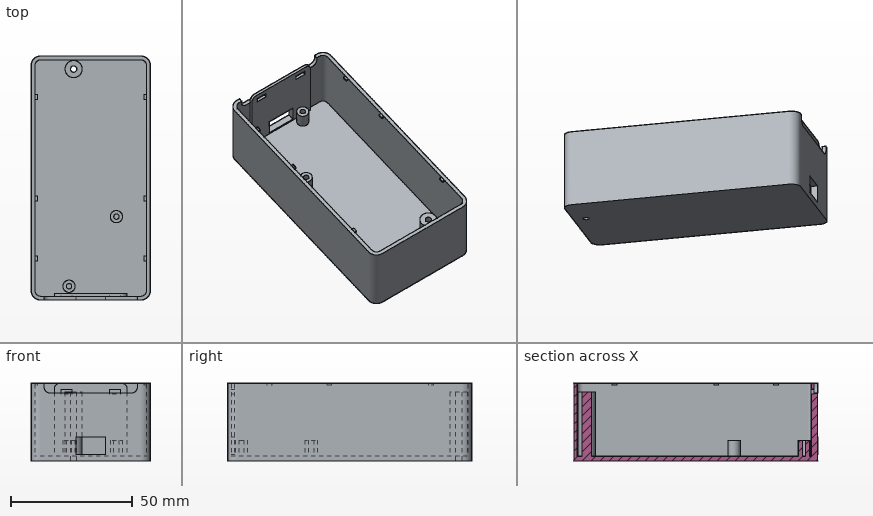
import cadquery as cq

LENGTH = 100.2
WIDTH = 49.0
HEIGHT = 32.0
WALL = 1.6
FLOOR = 2.0
CORNER_RADIUS = 4.0

OUTER_Y = LENGTH / 2
INNER_X = WIDTH / 2 - WALL
INNER_Y = OUTER_Y - WALL

NOTCH_WIDTH = 38.3
NOTCH_DEPTH = 4.1
NOTCH_RADIUS = 2.5
NOTCH_FLOOR = HEIGHT - NOTCH_DEPTH

TONGUE_WIDTH = 29.9
TONGUE_THICKNESS = 1.2
TONGUE_RADIUS = 2.5

SLOT_WIDTH = 4.4
SLOT_RISE = 1.5
SLOT_DROP = 0.3
SLOT_SPACING = 19.8

WINDOW_WIDTH = 12.0
WINDOW_HEIGHT = 7.1
WINDOW_SILL = 2.7

SCREW_POST_PLACE = (-7.0, 44.7)
SCREW_POST_DIAMETER = 7.0
SCREW_HOLE_DIAMETER = 2.5
SCREW_POST_TOP = 28.4

BOARD_POST_PLACES = [(-8.9, -44.4), (10.5, -15.8)]
BOARD_POST_DIAMETER = 5.0
PILOT_DIAMETER = 2.2
BOARD_POST_TOP = 8.4

LUG_LENGTH = 2.0
LUG_HEIGHT = 0.7
LUG_REACH = 1.0
LUG_RIM_GAP = 0.1
LUG_Y_PLACES = [33.3, -8.4, -33.0]


def block(x_size, y_size, z_size, x_mid, y_min, z_min):
    """Box centred on x_mid, rising from z_min and running back from y_min."""
    return (
        cq.Workplane("XY")
        .box(x_size, y_size, z_size, centered=(True, False, False))
        .translate((x_mid, y_min, z_min))
    )


def post(place, diameter, bottom, top):
    """Upright cylinder between two heights."""
    return cq.Workplane("XY", origin=(*place, bottom)).circle(diameter / 2).extrude(top - bottom)


def make_tray():
    outside = block(WIDTH, LENGTH, HEIGHT, 0, -OUTER_Y, 0)
    cavity = block(2 * INNER_X, 2 * INNER_Y, HEIGHT - FLOOR, 0, -INNER_Y, FLOOR)
    outside = outside.edges("|Z").fillet(CORNER_RADIUS)
    cavity = cavity.edges("|Z").fillet(CORNER_RADIUS - WALL)
    return outside.cut(cavity)


def make_notch():
    notch = block(NOTCH_WIDTH, WALL, NOTCH_DEPTH, 0, -OUTER_Y, NOTCH_FLOOR)
    return notch.edges("|Y and <Z").fillet(NOTCH_RADIUS)


def make_tongue():
    tongue = block(TONGUE_WIDTH, TONGUE_THICKNESS, HEIGHT - FLOOR, 0, -INNER_Y, FLOOR)
    tongue = tongue.edges("|Y and >Z").fillet(TONGUE_RADIUS)
    slot_height = SLOT_RISE + SLOT_DROP
    slot_bottom = NOTCH_FLOOR - SLOT_DROP
    for side in (-1, 1):
        slot_x = side * SLOT_SPACING / 2
        tongue = tongue.cut(block(SLOT_WIDTH, TONGUE_THICKNESS, slot_height, slot_x, -INNER_Y, slot_bottom))
    return tongue


def make_window():
    """Opening through both the front wall and the tongue behind it."""
    return block(WINDOW_WIDTH, WALL + TONGUE_THICKNESS, WINDOW_HEIGHT, 0, -OUTER_Y, WINDOW_SILL)


def make_lug(side, y_mid):
    """Lug pointing inward from the wall on the given side of X."""
    x_mid = side * (INNER_X - LUG_REACH / 2)
    lug_bottom = HEIGHT - LUG_RIM_GAP - LUG_HEIGHT
    return block(LUG_REACH, LUG_LENGTH, LUG_HEIGHT, x_mid, y_mid - LUG_LENGTH / 2, lug_bottom)


result = make_tray().cut(make_notch()).union(make_tongue()).cut(make_window())

result = result.union(post(SCREW_POST_PLACE, SCREW_POST_DIAMETER, FLOOR, SCREW_POST_TOP))
result = result.cut(post(SCREW_POST_PLACE, SCREW_HOLE_DIAMETER, 0, SCREW_POST_TOP))

for board_place in BOARD_POST_PLACES:
    result = result.union(post(board_place, BOARD_POST_DIAMETER, FLOOR, BOARD_POST_TOP))
    result = result.cut(post(board_place, PILOT_DIAMETER, FLOOR, BOARD_POST_TOP))

for lug_side in (-1, 1):
    for lug_y in LUG_Y_PLACES:
        result = result.union(make_lug(lug_side, lug_y))